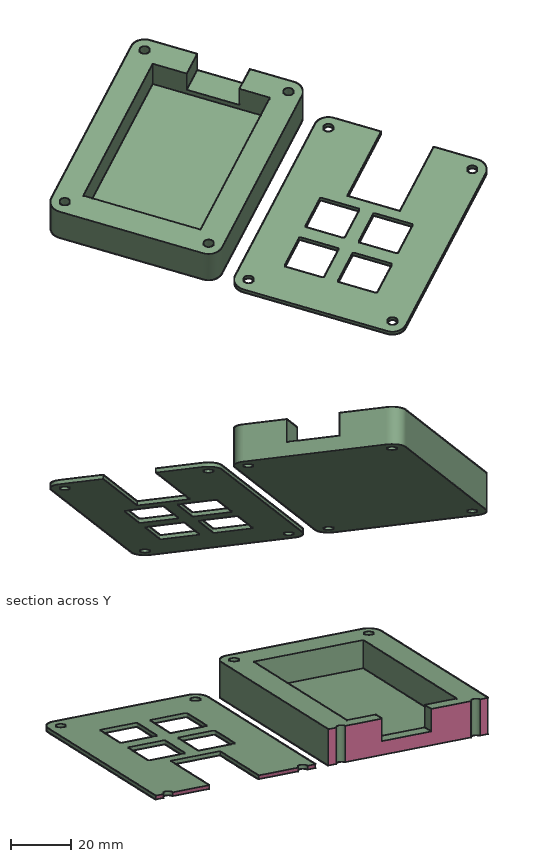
import cadquery as cq

OVERALL_WIDTH = 126.7
OUTLINE_WIDTH = 61.0
OUTLINE_LENGTH = 82.6
CORNER_RADIUS = 4.8
SCREW_HOLE_DIAMETER = 3.4

SCREW_SPACING_X = OUTLINE_WIDTH - 2 * CORNER_RADIUS
SCREW_SPACING_Y = OUTLINE_LENGTH - 2 * CORNER_RADIUS

OPENING_WIDTH = 18.8
OPENING_OFFSET_X = 0.6

CASE_HEIGHT = 13.0
CAVITY_WIDTH = 41.8
CAVITY_LENGTH = 63.5
CAVITY_DEPTH = 10.0
NOTCH_DEPTH = 8.0
END_WALL = (OUTLINE_LENGTH - CAVITY_LENGTH) / 2

PLATE_THICKNESS = 1.5
PLATE_CENTRE_X = OVERALL_WIDTH - OUTLINE_WIDTH
PLATE_CENTRE_Y = -0.5
SLOT_LENGTH = 30.9

KEY_WINDOW = 14.0
KEY_WINDOW_RADIUS = 0.5
KEY_PITCH = 19.0
KEY_GRID_X = -0.3
KEY_GRID_Y = -10.1


def drilled_slab(thickness):
    """Rounded slab on Z = 0 with a screw hole through each corner."""
    slab = (
        cq.Workplane("XY")
        .rect(OUTLINE_WIDTH, OUTLINE_LENGTH)
        .extrude(thickness)
        .edges("|Z")
        .fillet(CORNER_RADIUS)
    )
    return (
        slab.faces(">Z")
        .workplane()
        .rect(SCREW_SPACING_X, SCREW_SPACING_Y, forConstruction=True)
        .vertices()
        .hole(SCREW_HOLE_DIAMETER)
    )


def end_opening(length, bottom, height):
    """Cutter for the opening, reaching inward from the +Y end."""
    return (
        cq.Workplane("XY", origin=(0, 0, bottom))
        .center(OPENING_OFFSET_X, (OUTLINE_LENGTH - length) / 2)
        .rect(OPENING_WIDTH, length)
        .extrude(height)
    )


def make_case():
    """Open-topped case with a notch through its +Y wall."""
    cavity = (
        cq.Workplane("XY", origin=(0, 0, CASE_HEIGHT - CAVITY_DEPTH))
        .rect(CAVITY_WIDTH, CAVITY_LENGTH)
        .extrude(CAVITY_DEPTH)
    )
    notch = end_opening(END_WALL, CASE_HEIGHT - NOTCH_DEPTH, NOTCH_DEPTH)
    return drilled_slab(CASE_HEIGHT).cut(cavity).cut(notch)


def make_plate():
    """Cover plate with a slot from the +Y end and four key windows."""
    slot = end_opening(SLOT_LENGTH, 0, PLATE_THICKNESS)
    key_windows = (
        cq.Workplane("XY")
        .center(KEY_GRID_X, KEY_GRID_Y)
        .rarray(KEY_PITCH, KEY_PITCH, 2, 2)
        .rect(KEY_WINDOW, KEY_WINDOW)
        .extrude(PLATE_THICKNESS)
        .edges("|Z")
        .fillet(KEY_WINDOW_RADIUS)
    )
    plate = drilled_slab(PLATE_THICKNESS).cut(slot).cut(key_windows)
    return plate.translate((PLATE_CENTRE_X, PLATE_CENTRE_Y, 0))


case = make_case()
plate = make_plate()

result = cq.Compound.makeCompound([case.val(), plate.val()])